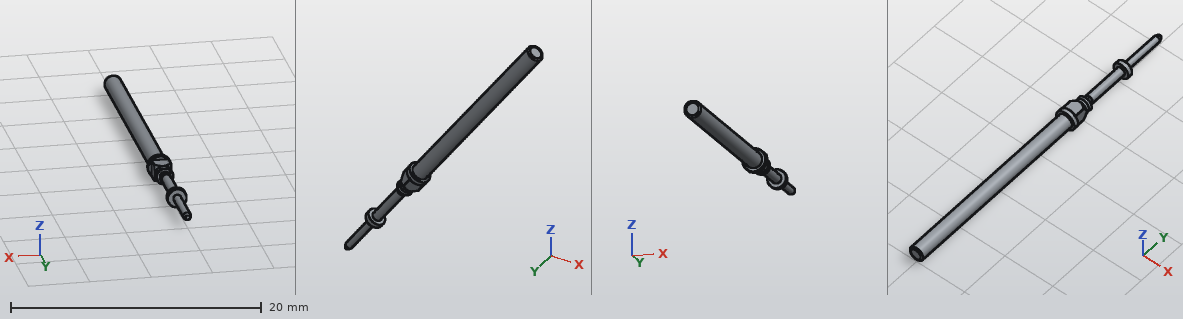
import cadquery as cq
import math

length = 30.2

barrel_diameter = 1.4
barrel_end_diameter = 1.03
barrel_bevel_length = 0.1
collar_diameter = 1.9
collar_start = 18.5
collar_end = 18.97

square_width = 1.35
square_end = 20.35
corner_taper_angle = 34

mouth_diameter = square_width
crimp_diameter = 1.2
crimp_place = 20.72
lip_end = 21.0

neck_diameter = 0.72
neck_foot_diameter = 0.85
shaft_diameter = 0.82
shaft_start = 21.45
flange_diameter = 1.55
flange_start = 25.4
flange_end = 25.88
pin_diameter = 0.63
tip_diameter = 0.4
tip_length = 0.33


def radius(diameter):
    return diameter / 2


def turned(points):
    """Revolve a stepped (radius, y) outline about the Y axis."""
    outline = [(0, points[0][1])] + points + [(0, points[-1][1])]
    return cq.Workplane("XY").polyline(outline).close().revolve(360, (0, 0), (0, 1))


def rod(diameter, start, end):
    return turned([(radius(diameter), start), (radius(diameter), end)])


def make_barrel():
    tube = turned([
        (radius(barrel_end_diameter), 0),
        (radius(barrel_diameter), barrel_bevel_length),
        (radius(barrel_diameter), collar_end),
    ])
    return tube.union(rod(collar_diameter, collar_start, collar_end))


def make_square():
    """Square bar with its corners turned to the collar diameter and tapered at the far end."""
    corner_radius = radius(collar_diameter)
    taper_depth = corner_radius - radius(mouth_diameter)
    taper_length = taper_depth / math.tan(math.radians(corner_taper_angle))
    bar_length = square_end - collar_end
    bar = cq.Workplane("XY").box(square_width, bar_length, square_width)
    bar = bar.translate((0, collar_end + bar_length / 2, 0))
    envelope = turned([
        (corner_radius, collar_end),
        (corner_radius, square_end - taper_length),
        (radius(mouth_diameter), square_end),
    ])
    return bar.intersect(envelope)


def rounded_bead(full_width_place):
    """Bead that rounds from the mouth diameter down to the bottom of the crimp groove."""
    groove_depth = radius(mouth_diameter) - radius(crimp_diameter)
    return (
        cq.Workplane("XY")
        .moveTo(radius(mouth_diameter), full_width_place)
        .threePointArc(
            (radius(mouth_diameter) - groove_depth / 4, (full_width_place + crimp_place) / 2),
            (radius(crimp_diameter), crimp_place),
        )
        .lineTo(0, crimp_place)
        .lineTo(0, full_width_place)
        .close()
        .revolve(360, (0, 0), (0, 1))
    )


def make_crimped_mouth():
    """Two rounded beads that meet in the crimp groove."""
    return rounded_bead(square_end).union(rounded_bead(lip_end))


def make_plunger():
    return turned([
        (radius(neck_foot_diameter), lip_end),
        (radius(neck_diameter), shaft_start),
        (radius(shaft_diameter), shaft_start),
        (radius(shaft_diameter), flange_start),
        (radius(flange_diameter), flange_start),
        (radius(flange_diameter), flange_end),
        (radius(pin_diameter), flange_end),
        (radius(pin_diameter), length - tip_length),
        (radius(tip_diameter), length),
    ])


result = (
    make_barrel()
    .union(make_square())
    .union(make_crimped_mouth())
    .union(make_plunger())
)